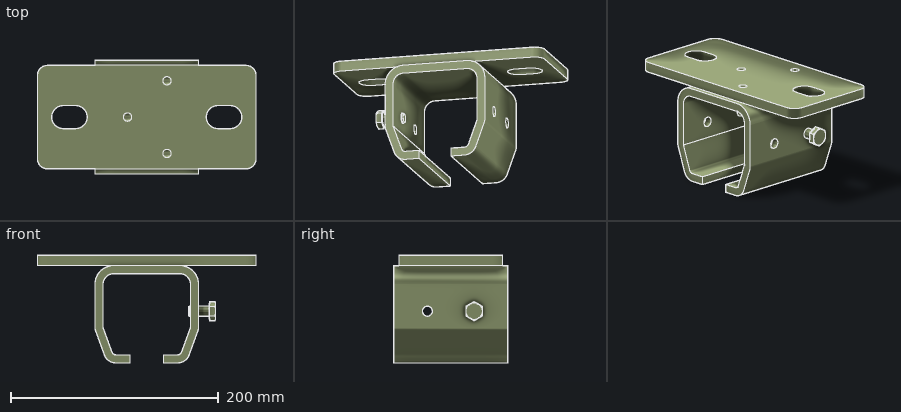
import cadquery as cq
import math

plate_length = 211.0
plate_width = 100.0
plate_thickness = 10.0
plate_corner_radius = 10.0
slot_length = 34.0
slot_width = 22.0
slot_offset = 74.5
dimple_diameter = 8.0
dimple_depth = 1.0
dimple_centers = [(-18.5, 0.0), (19.5, 35.0), (19.5, -35.0)]

track_length = 110.0
track_width = 100.0
track_height = 94.0
wall = 8.0
mouth_width = 32.0
kink_depth = 61.3
lean_angle = 20.0
shoulder_radius = 18.0
kink_radius = wall
lip_radius = 12.0

side_hole_diameter = 9.4
side_hole_depth = 44.0
side_hole_offset = 22.5

bolt_diameter = 10.0
bolt_length = 20.0
bolt_seat_x = 60.0
tip_diameter = 8.5
tip_chamfer_length = 1.3
head_across_flats = 16.0
head_height = 6.4
washer_face_diameter = 14.63
washer_face_height = 0.6
neck_fillet_radius = 0.6
head_chamfer_angle = 30.0
head_top_diameter = head_across_flats


def make_plate():
    """Rounded plate with two long holes and three shallow spherical dimples in the top face."""
    plate = (
        cq.Workplane("XY")
        .box(plate_length, plate_width, plate_thickness, centered=(True, True, False))
        .edges("|Z")
        .fillet(plate_corner_radius)
    )
    slots = (
        cq.Workplane("XY")
        .pushPoints([(-slot_offset, 0), (slot_offset, 0)])
        .slot2D(slot_length, slot_width)
        .extrude(plate_thickness)
    )
    plate = plate.cut(slots)

    dimple_radius = dimple_diameter / 2
    ball_radius = (dimple_radius**2 + dimple_depth**2) / (2 * dimple_depth)
    balls = (
        cq.Workplane("XY", origin=(0, 0, plate_thickness + ball_radius - dimple_depth))
        .pushPoints(dimple_centers)
        .sphere(ball_radius, direct=(1, 0, 0))
    )
    return plate.cut(balls)


def track_envelope(inset):
    """Closed track form, shrunk by an equal inset on every side, along the full track length."""
    lean = math.radians(lean_angle)
    half_width = track_width / 2 - inset
    top = -inset
    bottom = -track_height + inset
    kink = -kink_depth + inset * math.tan(lean / 2)
    half_bottom = half_width - (kink - bottom) * math.tan(lean)

    form = (
        cq.Workplane("XZ")
        .polyline([
            (-half_width, top),
            (half_width, top),
            (half_width, kink),
            (half_bottom, bottom),
            (-half_bottom, bottom),
            (-half_width, kink),
        ])
        .close()
        .extrude(track_length / 2, both=True)
    )
    corners = [
        (top, half_width, shoulder_radius),
        (kink, half_width, kink_radius),
        (bottom, half_bottom, lip_radius),
    ]
    for z, x, outer_radius in corners:
        radius = outer_radius - inset
        if radius > 0:
            for side in (-1, 1):
                form = form.edges(cq.selectors.NearestToPointSelector((side * x, 0, z))).fillet(radius)
    return form


def side_hole(diameter, y, x_start, x_end):
    """Cylinder along X at the height of the side holes."""
    return (
        cq.Workplane("YZ", origin=(x_start, y, -side_hole_depth))
        .circle(diameter / 2)
        .extrude(x_end - x_start)
    )


def make_track():
    """Bent C-shaped track, open at the bottom, with its side holes."""
    track = track_envelope(0).cut(track_envelope(wall))
    mouth = (
        cq.Workplane("XY", origin=(0, 0, -track_height))
        .rect(mouth_width, track_length)
        .extrude(2 * wall)
    )
    track = track.cut(mouth)

    half_width = track_width / 2
    for y in (-side_hole_offset, side_hole_offset):
        track = track.cut(side_hole(side_hole_diameter, y, -half_width, half_width))
    return track.cut(side_hole(bolt_diameter, side_hole_offset, 0, half_width))


def make_bolt():
    """Hexagon bolt along X, pointing to -X, with the head outside the +X wall."""
    axis_start = (bolt_seat_x, side_hole_offset, -side_hole_depth)
    shank_radius = bolt_diameter / 2

    neck_drop = neck_fillet_radius * math.sqrt(0.5)
    neck_radius = shank_radius + neck_fillet_radius
    shank = (
        cq.Workplane("XY", origin=axis_start)
        .moveTo(-bolt_length, 0)
        .lineTo(-bolt_length, tip_diameter / 2)
        .lineTo(-bolt_length + tip_chamfer_length, shank_radius)
        .lineTo(-neck_fillet_radius, shank_radius)
        .threePointArc((neck_drop - neck_fillet_radius, neck_radius - neck_drop), (0, neck_radius))
        .lineTo(0, washer_face_diameter / 2)
        .lineTo(washer_face_height, washer_face_diameter / 2)
        .lineTo(washer_face_height, 0)
        .close()
        .revolve(360, (0, 0, 0), (1, 0, 0))
    )

    across_corners = head_across_flats / math.cos(math.radians(30))
    hexagon = (
        cq.Workplane("YZ", origin=axis_start)
        .workplane(offset=washer_face_height)
        .transformed(rotate=(0, 0, 90))
        .polygon(6, across_corners)
        .extrude(head_height - washer_face_height)
    )
    chamfer_width = (across_corners - head_top_diameter) / 2
    chamfer_height = chamfer_width * math.tan(math.radians(head_chamfer_angle))
    turned_form = (
        cq.Workplane("YZ", origin=axis_start)
        .circle(across_corners / 2)
        .extrude(head_height)
        .faces(">X")
        .chamfer(chamfer_height, chamfer_width)
    )
    return shank.union(hexagon.intersect(turned_form))


plate = make_plate()
track = make_track()
bolt = make_bolt()
result = cq.Compound.makeCompound([plate.val(), track.val(), bolt.val()])